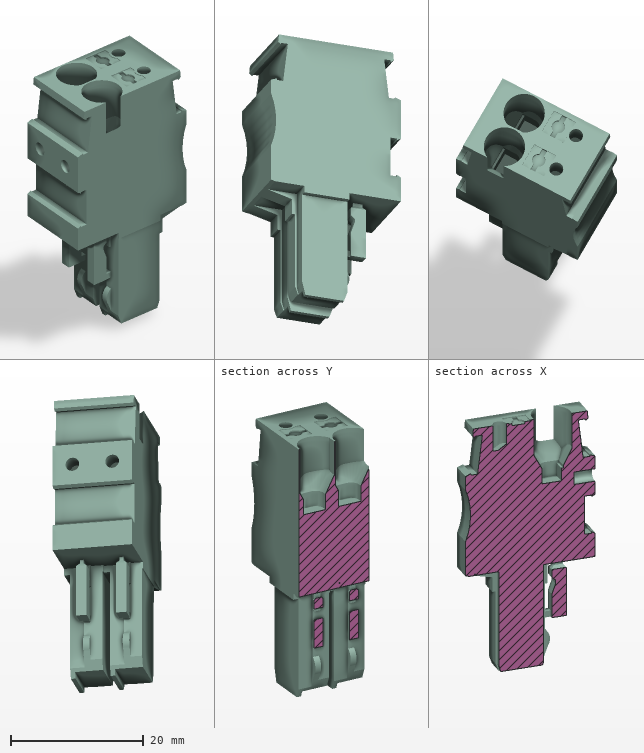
import cadquery as cq
import math

module_width = 6.15
module_count = 2
body_width = module_width * module_count
module_lefts = [i * module_width - body_width / 2 for i in range(module_count)]

total_height = 42.15
collar_slab_bottom = 16.57
body_bottom = 17.63
shoulder = 34.55
shoulder_edge = 34.45
flange_bottom = 40.8

body_half_depth = 10.5
flange_half_depth = 9.35
flange_top_half_depth = 9.25
neck_top_half_depth = 7.8
neck_bottom_half_depth = 8.55

lip_height = 0.25
lip_setback = 0.65
shoulder_lip_setback = 0.93
flange_lip_setback = 0.45
edge_drop = 0.1

groove_floor = -8.8
groove_bottom = 21.68
groove_top = 27.95
hollow_bottom = 23.57
hollow_top = 32.15
hollow_depth = 0.8

rear_edge_bottom = 17.8
wedge_end_height = 16.65
collar_back = 5.95
collar_front = -2.95
collar_bottom = 14.2
wedge_slope = (rear_edge_bottom - wedge_end_height) / (body_half_depth - collar_back)

tower_left = 0.93
tower_right = 6.0
tower_step = 3.15
tower_key_right = 1.65
tower_key_length = 0.93
thin_front = -2.2
thin_back = 5.15
thick_front = -2.57
thick_back = 5.4
tip_front = -1.65
tip_back = 4.6
back_taper_top = 2.15
thick_taper_top = 2.55
taper_rise = thick_taper_top / (tip_front - thick_front)
thin_taper_top = taper_rise * (tip_front - thin_front)

rib_right = 4.17
rib_top = 6.55
rib_crest = -3.37
rib_crest_height = 5.05
rib_end = -3.08
rib_end_height = 3.85
rib_foot_height = 2.75

blade_left = 2.65
blade_right = 4.25
blade_front = -5.85
blade_back = -3.45
blade_bottom = 8.55
blade_top = collar_slab_bottom
link_top = 9.57
waist_left = 3.15
waist_right = 3.7
waist_front = -5.5
waist_back = -3.95
waist_bottom = 17.08

notch_top = 15.3
notch_floor = -4.05
notch_floor_top = 14.75
notch_floor_bottom = 14.2
notch_bottom = 12.52

test_hole_radius = 1.05
test_hole_height = 31.25
test_hole_depth = 3.37
entry_x = 2.75
round_hole_y = 4.95
round_hole_radius = 1.05
round_hole_depth = 4.2
ramp_start = 5.2
ramp_rise = 0.85
button_width = 3.8
button_back = 3.9
button_front = 0.1
button_recess = 0.13
button_clearance = 1.45
button_slot_width = 0.8
button_slot_y = 1.9
button_slot_radius = 1.0
button_slot_depth = 0.35
wire_x = 3.37
wire_y = -3.65
wire_radius = 3.1
flare_angle = 28.0
throat_depth = 8.45
throat_back = -1.9
throat_front = -5.3
throat_corner = 1.3
ledge_depth = 0.42
ledge_width = 0.35
pocket_depth = 2.55


def extrude_along_x(sketch_points, left, right):
    """Prism of a closed YZ polygon between two X positions."""
    return cq.Workplane("YZ", origin=(left, 0, 0)).polyline(sketch_points).close().extrude(right - left)


def block(left, right, front, back, bottom, top):
    size = (right - left, back - front, top - bottom)
    return cq.Workplane("XY").box(*size, centered=False).translate((left, front, bottom))


def make_body():
    half = body_half_depth
    hollow_mid = (hollow_bottom + hollow_top) / 2
    flange_tip = flange_half_depth - flange_lip_setback
    shoulder_tip = half - shoulder_lip_setback
    outline = (
        cq.Workplane("YZ", origin=(-body_width / 2, 0, 0))
        .moveTo(-half, body_bottom)
        .lineTo(-half, groove_bottom - edge_drop)
        .lineTo(-half + lip_setback, groove_bottom + lip_height)
        .lineTo(-half + lip_setback, groove_bottom)
        .lineTo(groove_floor, groove_bottom)
        .lineTo(groove_floor, groove_top)
        .lineTo(-half + lip_setback, groove_top)
        .lineTo(-half + lip_setback, groove_top - lip_height)
        .lineTo(-half, groove_top + edge_drop)
        .lineTo(-half, shoulder_edge)
        .lineTo(-shoulder_tip, shoulder + lip_height)
        .lineTo(-shoulder_tip, shoulder)
        .lineTo(-neck_bottom_half_depth, shoulder)
        .lineTo(-neck_top_half_depth, flange_bottom)
        .lineTo(-flange_tip, flange_bottom)
        .lineTo(-flange_tip, flange_bottom - lip_height)
        .lineTo(-flange_half_depth, flange_bottom + edge_drop)
        .lineTo(-flange_top_half_depth, total_height)
        .lineTo(flange_top_half_depth, total_height)
        .lineTo(flange_half_depth, flange_bottom + edge_drop)
        .lineTo(flange_tip, flange_bottom - lip_height)
        .lineTo(flange_tip, flange_bottom)
        .lineTo(neck_top_half_depth, flange_bottom)
        .lineTo(neck_bottom_half_depth, shoulder)
        .lineTo(shoulder_tip, shoulder)
        .lineTo(shoulder_tip, shoulder + lip_height)
        .lineTo(half, shoulder_edge)
        .lineTo(half, hollow_top)
        .threePointArc((half - hollow_depth, hollow_mid), (half, hollow_bottom))
        .lineTo(half, rear_edge_bottom)
        .lineTo(half - (rear_edge_bottom - body_bottom) / wedge_slope, body_bottom)
        .close()
    )
    return outline.extrude(body_width)


def tower_prism(left, right, front, back, front_taper_top):
    """Upright part of the tower, tapering to its tip at front and back."""
    points = [
        (tip_front, 0),
        (front, front_taper_top),
        (front, body_bottom),
        (back, body_bottom),
        (back, back_taper_top),
        (tip_back, 0),
    ]
    return extrude_along_x(points, left, right)


def make_tower(x0):
    step = x0 + tower_step
    right = x0 + module_width
    thin = tower_prism(x0 + tower_left, step, thin_front, thin_back, thin_taper_top)
    thick = tower_prism(step, x0 + tower_right, thick_front, thick_back, thick_taper_top)
    key_relief = block(x0 + tower_key_right, right, thick_front, thick_back, 0, tower_key_length)
    tower = thin.union(thick).cut(key_relief)

    tower = tower.union(block(x0, step, thin_front, thin_back, collar_slab_bottom, body_bottom))
    tower = tower.union(block(step, right, thick_front, thick_back, collar_slab_bottom, body_bottom))

    tower = tower.union(block(step, x0 + blade_right, collar_front, 0, collar_bottom, body_bottom))
    wedge = [
        (0, collar_bottom),
        (collar_back, collar_bottom),
        (collar_back, wedge_end_height),
        (body_half_depth, rear_edge_bottom),
        (0, rear_edge_bottom),
    ]
    tower = tower.union(extrude_along_x(wedge, step, x0 + tower_right))

    rib = (
        cq.Workplane("YZ", origin=(step, 0, 0))
        .moveTo(0, rib_top)
        .lineTo(thick_front, rib_top)
        .threePointArc((rib_crest, rib_crest_height), (rib_end, rib_end_height))
        .lineTo(tip_front - rib_foot_height / taper_rise, rib_foot_height)
        .lineTo(thick_front, thick_taper_top)
        .lineTo(0, thick_taper_top)
        .close()
        .extrude(rib_right - tower_step)
    )
    return tower.union(rib)


def make_blade(x0):
    outline = [
        (blade_front, blade_bottom),
        (blade_front, blade_top),
        (blade_back, blade_top),
        (blade_back, notch_top),
        (notch_floor, notch_floor_top),
        (notch_floor, notch_floor_bottom),
        (blade_back, notch_bottom),
        (blade_back, blade_bottom),
    ]
    blade = extrude_along_x(outline, x0 + blade_left, x0 + blade_right)
    waist = block(x0 + waist_left, x0 + waist_right, waist_front, waist_back, waist_bottom, body_bottom)
    waist_size = (waist_right - waist_left, waist_back - waist_front)
    blade_size = (blade_right - blade_left, blade_back - blade_front)
    waist_centre = (x0 + (waist_left + waist_right) / 2, (waist_front + waist_back) / 2)
    blade_centre = (x0 + (blade_left + blade_right) / 2, (blade_front + blade_back) / 2)
    shift = (waist_centre[0] - blade_centre[0], waist_centre[1] - blade_centre[1])
    neck = (
        cq.Workplane("XY", origin=(*blade_centre, blade_top))
        .rect(*blade_size)
        .workplane(offset=waist_bottom - blade_top)
        .center(*shift)
        .rect(*waist_size)
        .loft(ruled=True)
    )
    link = block(x0 + tower_step, x0 + rib_right, blade_back, thick_front, blade_bottom, link_top)
    return blade.union(neck).union(waist).union(link)


def top_plane(x, y):
    return cq.Workplane("XY", origin=(x, y, total_height))


def make_round_hole(x0):
    """Round hole whose floor rises as a ramp towards the front."""
    x = x0 + entry_x
    hole = top_plane(x, round_hole_y).circle(round_hole_radius).extrude(-round_hole_depth)
    floor = total_height - round_hole_depth
    front = round_hole_y - round_hole_radius
    ramp = [(ramp_start, floor), (front, floor), (front, floor + ramp_rise)]
    return hole.cut(extrude_along_x(ramp, x - round_hole_radius, x + round_hole_radius))


def make_button(x0):
    """Sunk release button with a screwdriver slot, cut back around the round hole."""
    x = x0 + entry_x
    mid_y = (button_front + button_back) / 2
    recess = top_plane(x, mid_y).rect(button_width, button_back - button_front).extrude(-button_recess)
    recess = recess.cut(top_plane(x, round_hole_y).circle(button_clearance).extrude(-button_recess))
    depth = button_recess + button_slot_depth
    slot = top_plane(x, button_slot_y).rect(button_width, button_slot_width).extrude(-depth)
    slot = slot.union(top_plane(x, button_slot_y).circle(button_slot_radius).extrude(-depth))
    return recess.union(slot)


def make_wire_entry(x0):
    """Round bore whose walls flare up from a D-shaped throat, closed off at the module's right side."""
    right = x0 + module_width
    throat_x = x0 + entry_x
    throat_floor = total_height - throat_depth

    def throat(front, spread=0.0):
        """D-shaped outline with a round-cornered back, grown evenly outwards by spread."""
        depth = throat_back - front + 2 * spread
        outline = cq.Sketch().push([(throat_x, (front + throat_back) / 2)])
        outline = outline.rect(button_width + 2 * spread, depth).reset()
        return outline.vertices(">Y").fillet(throat_corner + spread)

    flare_spread = throat_depth * math.tan(math.radians(flare_angle))
    top_outline = throat(throat_front, flare_spread).moved(cq.Location(cq.Vector(0, 0, throat_depth)))
    floor_plane = cq.Workplane("XY", origin=(0, 0, throat_floor))
    flare = floor_plane.placeSketch(throat(throat_front), top_outline).loft(ruled=True)
    bore = top_plane(x0 + wire_x, wire_y).circle(wire_radius).extrude(-throat_depth)
    mouth = bore.intersect(flare).cut(block(right, right + wire_radius, -body_half_depth, 0, 0, total_height))
    ledge = floor_plane.placeSketch(throat(throat_front)).extrude(-ledge_depth)
    pocket = floor_plane.placeSketch(throat(throat_front + ledge_width)).extrude(-pocket_depth)
    return mouth.union(ledge).union(pocket)


def make_test_holes():
    """Round holes in the front face, one at the middle of each module."""
    centres = [(x0 + module_width / 2, 0) for x0 in module_lefts]
    face = cq.Workplane("XZ", origin=(0, -body_half_depth, test_hole_height))
    return face.pushPoints(centres).circle(test_hole_radius).extrude(-test_hole_depth)


result = make_body()
for module_left in module_lefts:
    result = result.union(make_tower(module_left)).union(make_blade(module_left))
for module_left in module_lefts:
    result = result.cut(make_round_hole(module_left))
    result = result.cut(make_button(module_left))
    result = result.cut(make_wire_entry(module_left))
result = result.cut(make_test_holes())